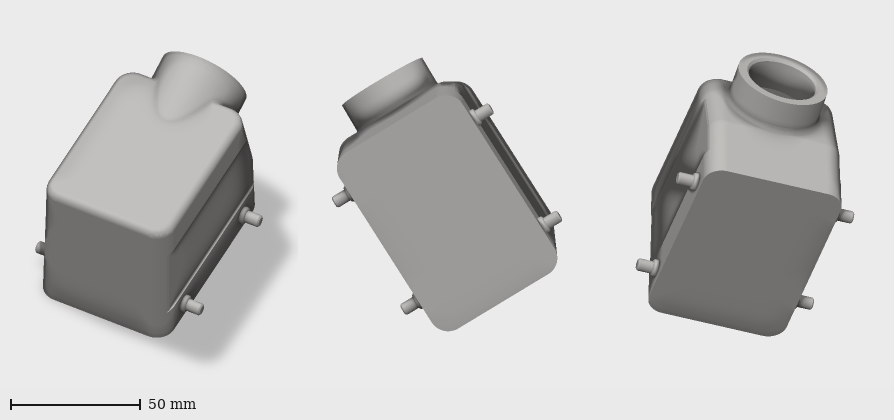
import cadquery as cq
import math

OVERALL_LENGTH = 93
BASE_LENGTH = 82.0
BASE_WIDTH = 55.6
HOOD_HEIGHT = 59.6
SIDE_DRAFT = 0.8
FRONT_DRAFT = 1.6
BACK_DRAFT = 2
SLANT_ANGLE = 15
KINK_HEIGHT = 27.7
KINK_RADIUS = 7.4
CORNER_RADIUS = 7.4
TOP_RADIUS = 3.0

RECESS_BOTTOM = 13.2
RECESS_TOP = 45.8
RECESS_DEPTH = 0.8
RECESS_BLEND = 0.65
RECESS_END_CHAMFER = 0.65

BOSS_DIAMETER = 36.0
BORE_DIAMETER = 27
BORE_DEPTH = 13
BORE_CHAMFER = 0.9
BOSS_REACH = 37.2
BOSS_FACE_Z = 50.0
BOSS_TIP_Y = OVERALL_LENGTH - BASE_LENGTH / 2
BOSS_BLEND = 2.0

PIN_DIAMETER = 4.8
PIN_TIP_CHAMFER = 0.6
PIN_SPAN = 71.0
PIN_SPACING = 50.0
PIN_MIDDLE_Y = 0.1
PIN_HEIGHT = 6.7
PIN_EMBED = 1.9
COLLAR_DIAMETER = 7.0
COLLAR_LENGTH = 1.9
COLLAR_ROUNDING = 1.0


def run(height, angle):
    """Horizontal shift of a wall leaning by angle over the given height."""
    return height * math.tan(math.radians(angle))


def half_width(z):
    """Distance of the drafted long side from the middle plane."""
    return BASE_WIDTH / 2 - run(z, SIDE_DRAFT)


def make_block():
    """Side outline cut to the drafted width, with rounded upright corners."""
    front_y = -BASE_LENGTH / 2
    back_y = BASE_LENGTH / 2
    kink_y = back_y - run(KINK_HEIGHT, BACK_DRAFT)
    top_back_y = kink_y - run(HOOD_HEIGHT - KINK_HEIGHT, SLANT_ANGLE)
    block = (
        cq.Workplane("YZ")
        .moveTo(front_y, 0)
        .lineTo(back_y, 0)
        .lineTo(kink_y, KINK_HEIGHT)
        .lineTo(top_back_y, HOOD_HEIGHT)
        .lineTo(front_y + run(HOOD_HEIGHT, FRONT_DRAFT), HOOD_HEIGHT)
        .close()
        .extrude(BASE_WIDTH / 2, both=True)
    )
    kink_edge = cq.selectors.NearestToPointSelector((0, kink_y, KINK_HEIGHT))
    block = block.edges(kink_edge).fillet(KINK_RADIUS)

    top_half = half_width(HOOD_HEIGHT)
    width_limit = (
        cq.Workplane("XZ")
        .moveTo(-BASE_WIDTH / 2, 0)
        .lineTo(BASE_WIDTH / 2, 0)
        .lineTo(top_half, HOOD_HEIGHT)
        .lineTo(-top_half, HOOD_HEIGHT)
        .close()
        .extrude(BASE_LENGTH, both=True)
    )
    block = block.intersect(width_limit)

    def is_upright_corner(edge):
        on_side = abs(edge.Center().x) > BASE_WIDTH / 4
        return on_side and edge.BoundingBox().zlen > 0.9

    return block.edges().filter(is_upright_corner).fillet(CORNER_RADIUS)


def cut_recess(body, side):
    """Recess one long side (side is -1 or 1), parallel to the drafted wall."""
    floor_bottom = side * (half_width(RECESS_BOTTOM) - RECESS_DEPTH)
    floor_top = side * (half_width(RECESS_TOP) - RECESS_DEPTH)
    outside = side * BASE_WIDTH
    cutter = (
        cq.Workplane("XZ")
        .moveTo(floor_bottom, RECESS_BOTTOM)
        .lineTo(outside, RECESS_BOTTOM)
        .lineTo(outside, RECESS_TOP)
        .lineTo(floor_top, RECESS_TOP)
        .close()
        .extrude(BASE_LENGTH, both=True)
    )
    body = body.cut(cutter)
    floor_middle = ((floor_bottom + floor_top) / 2, 0, (RECESS_BOTTOM + RECESS_TOP) / 2)
    floor = cq.selectors.NearestToPointSelector(floor_middle)

    def is_level(edge):
        return edge.BoundingBox().zlen < 0.1

    def is_end(edge):
        return not is_level(edge)

    body = body.faces(floor).edges().filter(is_end).chamfer(RECESS_END_CHAMFER)
    return body.faces(floor).edges().filter(is_level).fillet(RECESS_BLEND)


def boss_plane():
    """Plane of the boss mouth, its normal along the boss axis."""
    tilt = math.radians(SLANT_ANGLE)
    face_y = BOSS_TIP_Y - BOSS_DIAMETER / 2 * math.sin(tilt)
    return cq.Plane(
        origin=(0, face_y, BOSS_FACE_Z),
        xDir=(1, 0, 0),
        normal=(0, math.cos(tilt), math.sin(tilt)),
    )


def add_boss(body):
    """Boss blended into the hood along the curve where they meet."""
    mouth = boss_plane()
    boss = cq.Workplane(mouth).circle(BOSS_DIAMETER / 2).extrude(-BOSS_REACH)
    body = body.union(boss)

    def is_boss_wall(face):
        above_hood = face.BoundingBox().zmax > HOOD_HEIGHT + 0.9
        return face.geomType() == "CYLINDER" and above_hood

    def is_root(edge):
        return mouth.toLocalCoords(edge.Center()).z < -0.9

    return body.faces().filter(is_boss_wall).edges().filter(is_root).fillet(BOSS_BLEND)


def make_pin(side, y):
    """Collar and locking pin pointing out of one long side."""
    wall = half_width(PIN_HEIGHT)
    root = wall - PIN_EMBED
    plane = cq.Plane(origin=(side * root, y, PIN_HEIGHT), xDir=(0, 1, 0), normal=(side, 0, 0))
    outward = cq.selectors.DirectionMinMaxSelector(cq.Vector(side, 0, 0))
    pin = (
        cq.Workplane(plane)
        .circle(PIN_DIAMETER / 2)
        .extrude(PIN_SPAN / 2 - root)
        .faces(outward)
        .chamfer(PIN_TIP_CHAMFER)
    )
    collar = (
        cq.Workplane(plane)
        .circle(COLLAR_DIAMETER / 2)
        .extrude(PIN_EMBED + COLLAR_LENGTH)
        .faces(outward)
        .edges()
        .fillet(COLLAR_ROUNDING)
    )
    return pin.union(collar)


def cut_bore(body):
    """Blind bore from the boss mouth with a chamfered rim."""
    mouth_radius = BORE_DIAMETER / 2 + BORE_CHAMFER
    bore_radius = BORE_DIAMETER / 2
    profile = (
        cq.Workplane("XZ")
        .lineTo(mouth_radius, 0)
        .lineTo(bore_radius, -BORE_CHAMFER)
        .lineTo(bore_radius, -BORE_DEPTH)
        .lineTo(0, -BORE_DEPTH)
        .close()
    )
    cutter = profile.revolve(360, (0, 0), (0, 1)).val()
    return body.cut(cq.Workplane(cutter.moved(cq.Location(boss_plane()))))


hood = make_block()
hood = hood.faces(">Z").edges().fillet(TOP_RADIUS)
for side in (-1, 1):
    hood = cut_recess(hood, side)
hood = add_boss(hood)
hood = cut_bore(hood)
for side in (-1, 1):
    for end in (-1, 1):
        hood = hood.union(make_pin(side, PIN_MIDDLE_Y + end * PIN_SPACING / 2))
result = hood